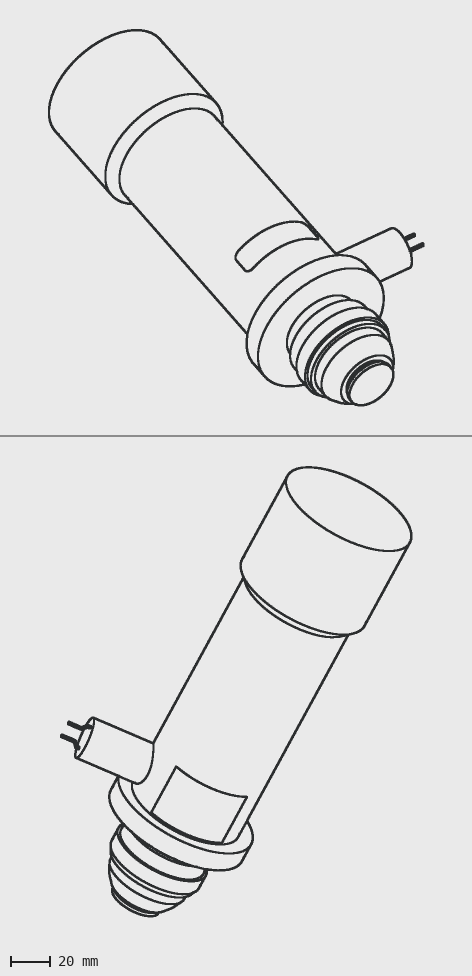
import cadquery as cq
import math

TOTAL_LENGTH = 245.84
PIN_TIP_Y = 74.03

CAP_RADIUS = 35.0
CAP_LENGTH = 52.5
CAP_TAPER_END = 57.9
BODY_RADIUS = 30.0

FLANGE_RADIUS = 37.5
FLANGE_START = 188.0
FLANGE_END = 198.7

NECK_RADIUS = 20.3
COLLAR_RADIUS = 23.5
COLLAR_START = 206.7
COLLAR_END = 226.2
BAND_RADIUS = 25.0
BAND_START = 214.9
BAND_END = 223.0
NOSE_RADIUS = 21.1
DOME_START = 232.2
DOME_END = 241.7
DOME_END_RADIUS = 15.5
DOME_BULGE = 0.6
TIP_NECK_RADIUS = 12.3
TIP_RADIUS = 13.1
TIP_RIM_START = 243.8

PORT_X = 174.0
PORT_RADIUS = 11.0
PORT_END_Y = 63.0
PIN_THICKNESS = 1.0
PIN_ROOT_OFFSET = 6.5
PIN_TIP_OFFSET = 4.0
PIN_BEND_START_Y = 64.6
PIN_BEND_END_Y = 66.6
PIN_EMBED = 1.0

RECESS_DEPTH = 0.1
CUTTER_MARGIN = 1.0
TOP_LABEL_START = 150.7
TOP_LABEL_END = 164.7
TOP_LABEL_WIDTH = 43.0
TOP_LABEL_CORNER = 3.0
BOTTOM_LABEL_START = 158.1
BOTTOM_LABEL_END = 187.0
BOTTOM_LABEL_WIDTH = 39.4


def make_turned_body():
    """Cap, body, flange and connector as one revolved profile (X along, Y radial)."""
    chord_x = DOME_END - DOME_START
    chord_r = DOME_END_RADIUS - NOSE_RADIUS
    chord = math.hypot(chord_x, chord_r)
    dome_middle = (
        (DOME_START + DOME_END) / 2 - DOME_BULGE * chord_r / chord,
        (NOSE_RADIUS + DOME_END_RADIUS) / 2 + DOME_BULGE * chord_x / chord,
    )
    profile = (
        cq.Workplane("XY")
        .moveTo(0, 0)
        .lineTo(0, CAP_RADIUS)
        .lineTo(CAP_LENGTH, CAP_RADIUS)
        .lineTo(CAP_TAPER_END, BODY_RADIUS)
        .lineTo(FLANGE_START, BODY_RADIUS)
        .lineTo(FLANGE_START, FLANGE_RADIUS)
        .lineTo(FLANGE_END, FLANGE_RADIUS)
        .lineTo(FLANGE_END, NECK_RADIUS)
        .lineTo(COLLAR_START, NECK_RADIUS)
        .lineTo(COLLAR_START, COLLAR_RADIUS)
        .lineTo(BAND_START, COLLAR_RADIUS)
        .lineTo(BAND_START, BAND_RADIUS)
        .lineTo(BAND_END, BAND_RADIUS)
        .lineTo(BAND_END, COLLAR_RADIUS)
        .lineTo(COLLAR_END, COLLAR_RADIUS)
        .lineTo(COLLAR_END, NOSE_RADIUS)
        .lineTo(DOME_START, NOSE_RADIUS)
        .threePointArc(dome_middle, (DOME_END, DOME_END_RADIUS))
        .lineTo(DOME_END, TIP_NECK_RADIUS)
        .lineTo(TIP_RIM_START, TIP_NECK_RADIUS)
        .lineTo(TIP_RIM_START, TIP_RADIUS)
        .lineTo(TOTAL_LENGTH, TIP_RADIUS)
        .lineTo(TOTAL_LENGTH, 0)
        .close()
    )
    return profile.revolve(360, (0, 0, 0), (1, 0, 0))


def make_port():
    """Round port running from the main axis out along +Y."""
    axis_plane = cq.Plane(origin=(PORT_X, 0, 0), xDir=(1, 0, 0), normal=(0, 1, 0))
    return cq.Workplane(axis_plane).circle(PORT_RADIUS).extrude(PORT_END_Y)


def make_pin(side):
    """Bent square pin; side is -1 or +1 along X from the port axis."""
    root_x = PORT_X + side * PIN_ROOT_OFFSET
    tip_x = PORT_X + side * PIN_TIP_OFFSET
    root_y = PORT_END_Y - PIN_EMBED
    path = cq.Workplane("XY").polyline([
        (root_x, root_y),
        (root_x, PIN_BEND_START_Y),
        (tip_x, PIN_BEND_END_Y),
        (tip_x, PIN_TIP_Y),
    ])
    start_plane = cq.Plane(origin=(root_x, root_y, 0), xDir=(1, 0, 0), normal=(0, 1, 0))
    section = cq.Workplane(start_plane).rect(PIN_THICKNESS, PIN_THICKNESS)
    return section.sweep(path, transition="right")


def make_label_recess(start_x, end_x, width, side, corner_radius=0.0):
    """Thin curved cutter for a label; side is +1 for the top and -1 for the bottom."""
    length = end_x - start_x
    window = (
        cq.Workplane("XY")
        .center((start_x + end_x) / 2, 0)
        .rect(length, width)
        .extrude(side * FLANGE_RADIUS)
    )
    if corner_radius > 0:
        window = window.edges("|Z").fillet(corner_radius)
    core = (
        cq.Workplane("YZ", origin=(start_x - CUTTER_MARGIN, 0, 0))
        .circle(BODY_RADIUS - RECESS_DEPTH)
        .extrude(length + 2 * CUTTER_MARGIN)
    )
    return window.cut(core)


result = make_turned_body().union(make_port())
for pin_side in (-1, 1):
    result = result.union(make_pin(pin_side))
result = result.cut(
    make_label_recess(TOP_LABEL_START, TOP_LABEL_END, TOP_LABEL_WIDTH, 1, TOP_LABEL_CORNER)
)
result = result.cut(
    make_label_recess(BOTTOM_LABEL_START, BOTTOM_LABEL_END, BOTTOM_LABEL_WIDTH, -1)
)